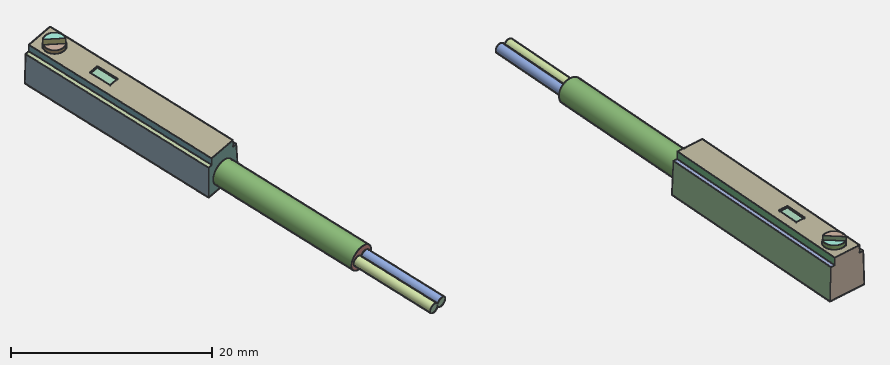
import cadquery as cq

total_length = 52.0
total_height = 5.6
body_length = 24.0
body_width = 4.5
body_height = 5.1
ledge_height = 4.15
ledge_width = 4.25
rail_width = 3.3
end_draft = 0.15

screw_center_x = 2.0
screw_diameter = 2.45
slot_width = 0.75
slot_angle = 45.0
slot_depth = 0.8
slot_floor_z = total_height - slot_depth

window_start_x = 7.05
window_length = 2.65
window_width = 1.15
window_depth = 0.2

cable_axis_z = 1.9
jacket_diameter = 3.0
jacket_end_x = 42.0
wire_diameter = 1.2
wire_spacing = 1.15


def make_body():
    """Stepped block with drafted flanks and a slanted cable end face."""
    block = (
        cq.Workplane("YZ")
        .moveTo(-body_width / 2, 0)
        .lineTo(body_width / 2, 0)
        .lineTo(ledge_width / 2, ledge_height)
        .lineTo(rail_width / 2, ledge_height)
        .lineTo(rail_width / 2, body_height)
        .lineTo(-rail_width / 2, body_height)
        .lineTo(-rail_width / 2, ledge_height)
        .lineTo(-ledge_width / 2, ledge_height)
        .close()
        .extrude(body_length)
    )
    side_profile = (
        cq.Workplane("XZ")
        .polyline([
            (0, 0),
            (body_length, 0),
            (body_length - end_draft, body_height),
            (0, body_height),
        ])
        .close()
        .extrude(body_width / 2, both=True)
    )
    return block.intersect(side_profile)


def make_screw():
    """Screw cylinder standing proud of the body, sunk below its top to the slot floor."""
    return (
        cq.Workplane("XY", origin=(screw_center_x, 0, slot_floor_z))
        .circle(screw_diameter / 2)
        .extrude(total_height - slot_floor_z)
    )


def make_driver_slot():
    """Slanted slot across the screw, ending at the screw's rim."""
    bar = (
        cq.Workplane("XY", origin=(screw_center_x, 0, slot_floor_z))
        .transformed(rotate=(0, 0, slot_angle))
        .rect(2 * screw_diameter, slot_width)
        .extrude(total_height - slot_floor_z)
    )
    return bar.intersect(make_screw())


def make_window():
    """Shallow rectangular recess in the top face."""
    return (
        cq.Workplane("XY")
        .workplane(offset=body_height - window_depth)
        .center(window_start_x + window_length / 2, 0)
        .rect(window_length, window_width)
        .extrude(window_depth)
    )


def make_rod(start_x, end_x, diameter, y=0.0):
    """Round rod along X at the height of the cable axis."""
    return (
        cq.Workplane("YZ", origin=(start_x, y, cable_axis_z))
        .circle(diameter / 2)
        .extrude(end_x - start_x)
    )


jacket = make_rod(body_length - end_draft, jacket_end_x, jacket_diameter)
body = make_body().cut(make_window())
result = body.union(make_screw()).cut(make_driver_slot()).union(jacket)

for side in (-1, 1):
    wire = make_rod(jacket_end_x, total_length, wire_diameter, side * wire_spacing / 2)
    result = result.union(wire)